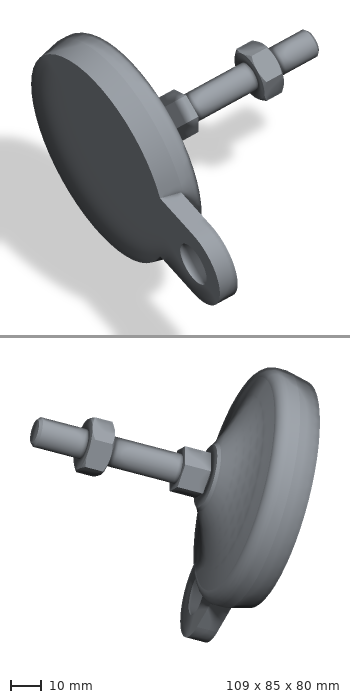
import cadquery as cq
import math

overall_length = 109.0
overall_height = 85.0

foot_radius = 80.0 / 2
sole_radius = 38.2
taper_height = 7.6
rim_height = 11.0
shoulder_height = 15.0
shoulder_radius = foot_radius - (shoulder_height - rim_height)
flare_mid_radius = 19.7
flare_mid_height = 19.7
crown_height = 24.2
crown_radius = 11.5
foot_height = 25.2
crown_chamfer = foot_height - crown_height

lug_thickness = 7.1
lug_radius = 15.0
lug_hole_diameter = 15.0
lug_centre_x = overall_length - foot_radius - lug_radius

stud_diameter = 10.0
stud_chamfer = 1.0
collar_start = 26.0
collar_height = 8.9
collar_across_flats = 14.0
nut_start = 60.2
nut_height = 7.8
nut_across_flats = 17.0
nut_chamfer_length = 0.9
nut_face_radius = nut_across_flats / 2


def plane_at(height):
    """XZ plane at a given Y, with its normal along +Y and local x along +X."""
    return cq.Workplane(cq.Plane(origin=(0, height, 0), xDir=(1, 0, 0), normal=(0, 1, 0)))


def corner_radius(across_flats):
    return across_flats / math.sqrt(3)


def make_hexagon(start, height, across_flats):
    """Hexagonal prism with two corners on the Z axis."""
    corner_diameter = 2 * corner_radius(across_flats)
    hexagon = plane_at(start).polygon(6, corner_diameter).extrude(height)
    return hexagon.rotate((0, 0, 0), (0, 1, 0), 30)


def make_foot():
    fillet_radius = foot_radius - shoulder_radius
    fillet_offset = fillet_radius / math.sqrt(2)
    fillet_middle = (shoulder_radius + fillet_offset, rim_height + fillet_offset)
    profile = (
        cq.Workplane("XY")
        .lineTo(sole_radius, 0)
        .lineTo(foot_radius, taper_height)
        .lineTo(foot_radius, rim_height)
        .threePointArc(fillet_middle, (shoulder_radius, shoulder_height))
        .threePointArc((flare_mid_radius, flare_mid_height), (crown_radius, crown_height))
        .lineTo(crown_radius - crown_chamfer, foot_height)
        .lineTo(0, foot_height)
        .close()
    )
    return profile.revolve(360, (0, 0, 0), (0, 1, 0))


def make_lug():
    bar = (
        plane_at(0)
        .center(lug_centre_x / 2, 0)
        .rect(lug_centre_x, 2 * lug_radius)
        .extrude(lug_thickness)
    )
    eye = plane_at(0).center(lug_centre_x, 0).circle(lug_radius).extrude(lug_thickness)
    hole = plane_at(0).center(lug_centre_x, 0).circle(lug_hole_diameter / 2).extrude(lug_thickness)
    return bar.union(eye).cut(hole)


def make_stud():
    stud = plane_at(0).circle(stud_diameter / 2).extrude(overall_height)
    return stud.faces(">Y").chamfer(stud_chamfer)


def make_nut():
    """Hexagon whose corners are trimmed by a cone at each end."""
    hexagon = make_hexagon(nut_start, nut_height, nut_across_flats)
    corner_trim = corner_radius(nut_across_flats) - nut_face_radius
    trimmer = (
        plane_at(nut_start)
        .circle(nut_face_radius + corner_trim)
        .extrude(nut_height)
        .faces("<Y or >Y")
        .chamfer(nut_chamfer_length, corner_trim)
    )
    return hexagon.intersect(trimmer)


collar = make_hexagon(collar_start, collar_height, collar_across_flats)
result = make_foot().union(make_lug()).union(make_stud()).union(collar).union(make_nut())